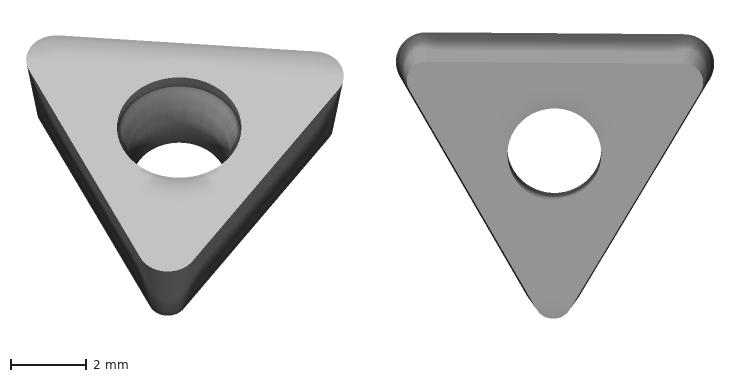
import cadquery as cq
import math

length = 8.46
thickness = 2.38
corner_radius = 0.8
clearance_angle = 7.0

mouth_diameter = 3.31
bore_diameter = 2.495
mouth_depth = 0.41
seat_bottom_depth = 1.61


def on_corner(radius, corner_angle, direction):
    """Point on a corner's arc; both angles are in degrees from +X."""
    corner_distance = (length - 2 * corner_radius) / math.sqrt(3)
    corner = math.radians(corner_angle)
    outward = math.radians(direction)
    return (
        corner_distance * math.cos(corner) + radius * math.cos(outward),
        corner_distance * math.sin(corner) + radius * math.sin(outward),
    )


def make_outline(radius, height):
    """Rounded triangle pointing toward +Y."""
    outline = cq.Workplane("XY").workplane(offset=height).moveTo(*on_corner(radius, 330, 390))
    for angle in (90, 210, 330):
        outline = outline.lineTo(*on_corner(radius, angle, angle - 60))
        outline = outline.threePointArc(
            on_corner(radius, angle, angle), on_corner(radius, angle, angle + 60)
        )
    return outline.wire().val()


def make_body():
    """Corner centres stay in line, so the shrinking radius gives flat sides and conical corners."""
    inset = thickness * math.tan(math.radians(clearance_angle))
    bottom = make_outline(corner_radius - inset, 0)
    top = make_outline(corner_radius, thickness)
    return cq.Workplane(cq.Solid.makeLoft([bottom, top], True))


def make_hole():
    """Revolved hole whose convex seat runs tangentially into the bore."""
    mouth_radius = mouth_diameter / 2
    bore_radius = bore_diameter / 2
    seat_top = thickness - mouth_depth
    seat_bottom = thickness - seat_bottom_depth
    return (
        cq.Workplane("XZ")
        .lineTo(bore_radius, 0)
        .lineTo(bore_radius, seat_bottom)
        .tangentArcPoint((mouth_radius, seat_top), relative=False)
        .lineTo(mouth_radius, thickness)
        .lineTo(0, thickness)
        .close()
        .revolve(360, (0, 0, 0), (0, 1, 0))
    )


result = make_body().cut(make_hole())